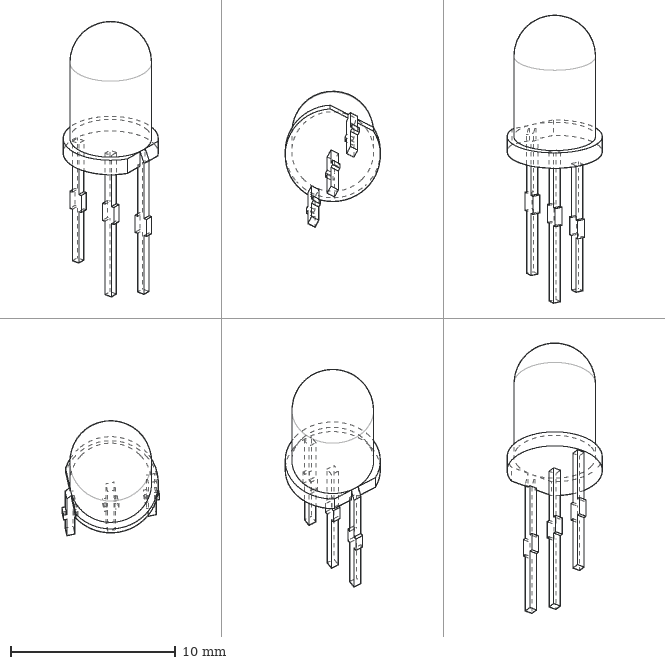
import cadquery as cq

body_height = 8.7
body_radius = 2.49
rim_radius = 2.9
rim_height = 1.0
flat_x = body_radius
dome_center_z = body_height - body_radius

lead_pitch = 2.54
lead_width = 0.5
tab_width = 0.9
tab_height = 1.17
tab_top_drop = 3.5
left_lead_length = 8.2
middle_lead_length = 9.7
right_lead_length = 8.7

taper_height = 0.7


def make_body():
    """Rim with a flat on its +X side, carrying the barrel and its dome."""
    rim = cq.Workplane("XY").circle(rim_radius).extrude(rim_height)
    beyond_flat = (
        cq.Workplane("XY")
        .box(rim_radius, 2 * rim_radius, rim_height, centered=(False, True, False))
        .translate((flat_x, 0, 0))
    )
    barrel = cq.Workplane("XY").circle(body_radius).extrude(dome_center_z)
    dome = cq.Workplane("XY").sphere(body_radius).translate((0, 0, dome_center_z))
    return rim.cut(beyond_flat).union(barrel).union(dome)


def make_lead(x, length):
    """Lead hanging down from the underside of the rim, with its standoff tab."""
    wire = cq.Workplane("XY").rect(lead_width, lead_width).extrude(-length)
    tab = (
        cq.Workplane("XY", origin=(0, 0, -tab_top_drop))
        .rect(tab_width, lead_width)
        .extrude(-tab_height)
    )
    return wire.union(tab).translate((x, 0, 0))


def make_lead_shoulder():
    """Upper end of the right lead, standing out from the flat of the rim."""
    inner_x = lead_pitch - lead_width / 2
    outer_x = lead_pitch + lead_width / 2
    return (
        cq.Workplane("XZ")
        .moveTo(inner_x, 0)
        .lineTo(outer_x, 0)
        .lineTo(outer_x, rim_height - taper_height)
        .lineTo(flat_x, rim_height)
        .lineTo(inner_x, rim_height)
        .close()
        .extrude(lead_width / 2, both=True)
    )


leads = (
    (-lead_pitch, left_lead_length),
    (0, middle_lead_length),
    (lead_pitch, right_lead_length),
)

result = make_body().union(make_lead_shoulder())
for lead_x, lead_length in leads:
    result = result.union(make_lead(lead_x, lead_length))